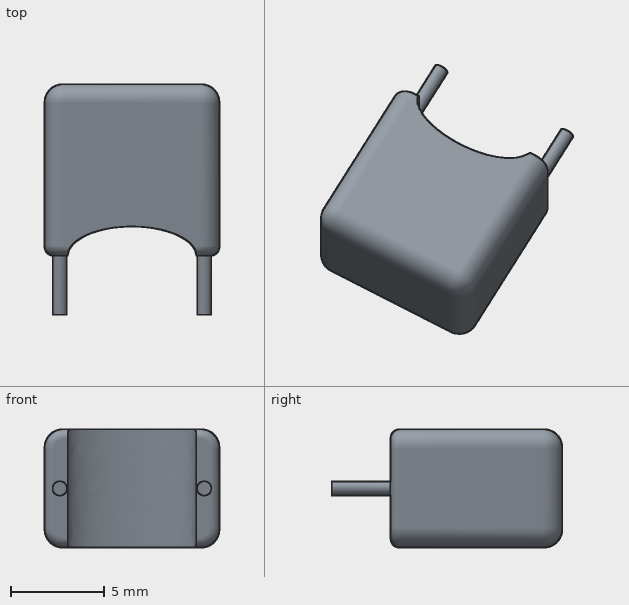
import cadquery as cq

total_length = 12.38
housing_width = 9.4
housing_height = 6.36
lead_length = 3.16
housing_length = total_length - lead_length

main_radius = 1.0
front_radius = 0.51

arch_half_width = 3.45
arch_depth = 1.58

lead_diameter = 0.77
lead_pitch = 7.75


def make_housing():
    """Rounded block with an elliptical arch running through its full height."""
    block = cq.Workplane("XY").box(
        housing_width, housing_length, housing_height, centered=(True, False, True)
    )
    block = block.edges("|Y or >Y").fillet(main_radius)
    block = block.faces("<Y").edges().fillet(front_radius)
    arch = (
        cq.Workplane("XY", origin=(0, 0, -housing_height / 2))
        .ellipse(arch_half_width, arch_depth)
        .extrude(housing_height)
    )
    return block.cut(arch).solids()


def make_lead(x_position):
    """Straight round wire standing on the front face and pointing toward -Y."""
    return (
        cq.Workplane("XZ")
        .center(x_position, 0)
        .circle(lead_diameter / 2)
        .extrude(lead_length)
    )


housing = make_housing()
leads = [make_lead(side * lead_pitch / 2) for side in (-1, 1)]

result = cq.Compound.makeCompound([housing.val(), *[lead.val() for lead in leads]])